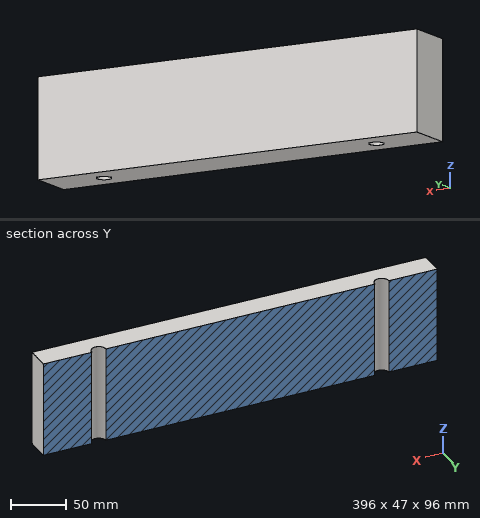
import cadquery as cq

length = 396.0
width = 47.0
height = 96.0

hole_diameter = 14.0
end_to_hole = 56.0
hole_spacing = length - 2 * end_to_hole

bar = cq.Workplane("XY").box(length, width, height)

result = (
    bar.faces(">Z")
    .workplane()
    .rarray(hole_spacing, 4, 2, 1)
    .hole(hole_diameter)
)